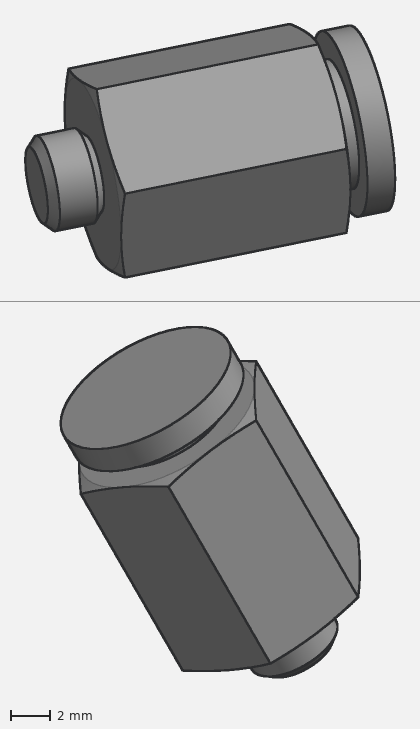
import cadquery as cq
import math

total_length = 17.7
stud_length = 3.01
hex_length = 12.25
neck_length = 0.95
flange_length = total_length - stud_length - hex_length - neck_length

across_flats = 10.0
across_corners = across_flats / math.cos(math.radians(30))
stud_diameter = 5.0
stud_chamfer = 0.5
neck_diameter = 6.8
flange_diameter = 9.7
corner_chamfer_angle = 15.0

hex_start = stud_length
hex_end = hex_start + hex_length
neck_end = hex_end + neck_length


def disc(diameter, start, length):
    """Cylinder along +Y from the given station."""
    plane = cq.Workplane("XZ", origin=(0, start, 0))
    return plane.circle(diameter / 2).extrude(-length)


def chamfered_hex():
    """Hexagon with corners on Z, its corners turned down to a cone at both ends."""
    prism = (
        cq.Workplane("XZ", origin=(0, hex_start, 0))
        .polygon(6, across_corners)
        .extrude(-hex_length)
        .rotate((0, 0, 0), (0, 1, 0), 90)
    )
    face_radius = across_flats / 2
    corner_radius = across_corners / 2
    corner_drop = (corner_radius - face_radius) * math.tan(math.radians(corner_chamfer_angle))
    envelope = (
        cq.Workplane("XY")
        .moveTo(0, hex_start)
        .lineTo(face_radius, hex_start)
        .lineTo(corner_radius, hex_start + corner_drop)
        .lineTo(corner_radius, hex_end - corner_drop)
        .lineTo(face_radius, hex_end)
        .lineTo(0, hex_end)
        .close()
        .revolve(360, (0, 0, 0), (0, 1, 0))
    )
    return prism.intersect(envelope)


stud = disc(stud_diameter, 0, stud_length).edges().chamfer(stud_chamfer)

neck = disc(neck_diameter, hex_end, neck_length)
flange = disc(flange_diameter, neck_end, flange_length)

result = chamfered_hex().union(stud).union(neck).union(flange)